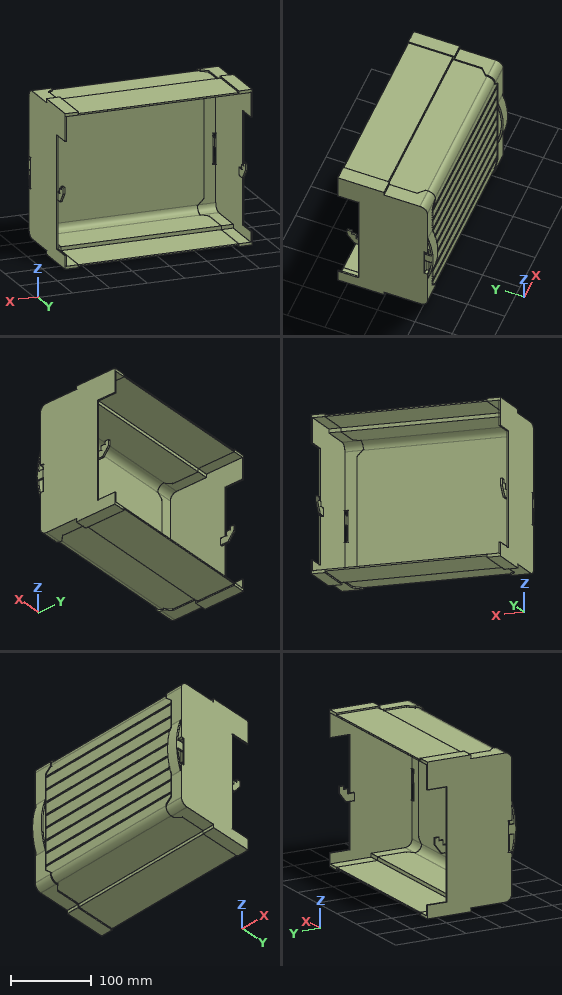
import cadquery as cq
import math


length = 250.0
height = 204.0
depth = 120.0
cap_width = 18.0
side_wall = 2.0
wall = 4.0

step_y = 58.0
step_height = 5.0
front_radius = 10.0

ear_length = 8.5
ear_size = 13.0
ear_flare = 8.0

cover_inset = 2.0
cover_front_inset = 1.0

rib_count = 8
rib_pitch = 20.0
rib_radius = 1.0
rib_middle_z = 1.0

recess_depth = 28.0
upper_lip = 36.5
lower_lip = 18.0

hook_thickness = 2.5
hook_bottom_z = -20.5
hook_anchor = 5.0
hook_heel = 6.5
hook_reach = 16.2
hook_slope_height = 13.0
hook_first_ledge = 4.2
hook_first_height = 10.5
hook_second_ledge = 10.0
hook_second_height = 17.0
hook_height = 21.5

handle_inset = 2.0
handle_width = 15.2
handle_z = -4.2
handle_chord = 80.0
handle_rise = 7.0
handle_thickness = 2.5

notch_top_z = 8.0
notch_bottom_z = -33.0
notch_depth = 4.8
notch_width = 6.0
tongue_top_z = 2.2
tongue_bottom_z = -10.8
tongue_thickness = 2.0

half_length = length / 2
cap_inner_x = half_length - cap_width
ear_inner_x = cap_inner_x - ear_length
rear_half = height / 2
front_half = rear_half - step_height
recess_y = depth - recess_depth


def left(distance):
    """X of a plane that lies the given distance in from the left end."""
    return distance - half_length


def box_between(x_range, y_range, z_range):
    """Box from its limits along X, Y and Z."""
    size = [end - start for start, end in (x_range, y_range, z_range)]
    return cq.Workplane("XY").box(*size, centered=False).translate((x_range[0], y_range[0], z_range[0]))


def stepped_block(inset, front_inset, x_start, x_end):
    """Block along X with the cap's stepped outline moved inwards; its front edges are rounded."""
    rear_top = rear_half - inset
    front_top = front_half - inset
    step = step_y + inset
    corner = front_radius * (1 - math.sqrt(0.5))
    return (
        cq.Workplane("YZ", origin=(x_start, 0, 0))
        .moveTo(depth, rear_top)
        .lineTo(step, rear_top)
        .lineTo(step, front_top)
        .lineTo(front_inset + front_radius, front_top)
        .threePointArc(
            (front_inset + corner, front_top - corner), (front_inset, front_top - front_radius)
        )
        .lineTo(front_inset, front_radius - front_top)
        .threePointArc(
            (front_inset + corner, corner - front_top), (front_inset + front_radius, -front_top)
        )
        .lineTo(step, -front_top)
        .lineTo(step, -rear_top)
        .lineTo(depth, -rear_top)
        .close()
        .extrude(x_end - x_start)
    )


def ear_zone():
    """Space taken by the two front ears of the left cap, tapering towards the middle."""
    full_size = ear_size + ear_flare
    taper = math.degrees(math.atan2(ear_flare, ear_length))
    upper = (
        cq.Workplane("YZ", origin=(-cap_inner_x, 0, front_half))
        .rect(2 * full_size, 2 * full_size)
        .extrude(ear_length, taper=taper)
    )
    return upper.union(upper.mirror("XY"))


def cap_skin():
    """Wall of the left cap with its ears, open at the back and towards the cover."""
    sleeve = stepped_block(0, 0, -half_length, -cap_inner_x)
    ears = stepped_block(0, 0, -cap_inner_x, -ear_inner_x).intersect(ear_zone())
    hollow = stepped_block(wall, wall, left(side_wall), -ear_inner_x)
    recess = box_between(
        (-half_length, left(side_wall)), (recess_y, depth), (lower_lip - rear_half, rear_half - upper_lip)
    )
    notch = box_between(
        (-half_length, left(notch_width)), (0, notch_depth), (notch_bottom_z, notch_top_z)
    )
    return sleeve.union(ears).cut(hollow).cut(recess).cut(notch)


def rail_hook():
    """Stepped hook on the inside of the outer wall, reaching back into the rail recess."""
    return (
        cq.Workplane("YZ", origin=(left(side_wall), recess_y, hook_bottom_z))
        .moveTo(-hook_anchor, 0)
        .lineTo(hook_heel, 0)
        .lineTo(hook_reach, hook_slope_height)
        .lineTo(hook_reach, hook_height)
        .lineTo(hook_second_ledge, hook_height)
        .lineTo(hook_second_ledge, hook_second_height)
        .lineTo(hook_first_ledge, hook_second_height)
        .lineTo(hook_first_ledge, hook_first_height)
        .lineTo(-hook_anchor, hook_first_height)
        .close()
        .extrude(hook_thickness)
    )


def bow_handle():
    """Curved strip standing on the cap front."""
    radius = ((handle_chord / 2) ** 2 + handle_rise ** 2) / (2 * handle_rise)
    centre = (left(handle_inset), radius - handle_rise, handle_z)
    ring = cq.Workplane("YZ", origin=centre).circle(radius).circle(radius - handle_thickness)
    in_front = box_between((-half_length, 0), (-handle_rise, 0), (-rear_half, rear_half))
    return ring.extrude(handle_width).intersect(in_front)


def handle_tongue():
    """Tab from the crown of the handle back into the notch."""
    return box_between(
        (left(handle_inset), left(handle_inset + tongue_thickness)),
        (handle_thickness / 2 - handle_rise, notch_depth),
        (tongue_bottom_z, tongue_top_z),
    )


def make_left_cap():
    return cap_skin().union(rail_hook()).union(bow_handle()).union(handle_tongue())


def cover_shell():
    """Thin cover between the caps, open at the back and at its ends, cut away around the ears."""
    outer = stepped_block(cover_inset, cover_front_inset, -cap_inner_x, cap_inner_x)
    hollow = stepped_block(wall, wall, -cap_inner_x, cap_inner_x)
    left_ears = ear_zone()
    return outer.cut(hollow).cut(left_ears).cut(left_ears.mirror("YZ"))


def make_cover():
    """Cover with a row of half-round ribs along its front."""
    shell = cover_shell()
    for number in range(rib_count):
        z = rib_middle_z + (number - (rib_count - 1) / 2) * rib_pitch
        rib = (
            cq.Workplane("YZ", origin=(-cap_inner_x, cover_front_inset, z))
            .circle(rib_radius)
            .extrude(2 * cap_inner_x)
        )
        shell = shell.union(rib)
    return shell


left_cap = make_left_cap()
right_cap = left_cap.mirror("YZ")
cover = make_cover()

result = cq.Compound.makeCompound([*left_cap.solids().vals(), *right_cap.solids().vals(), cover.solids().val()])